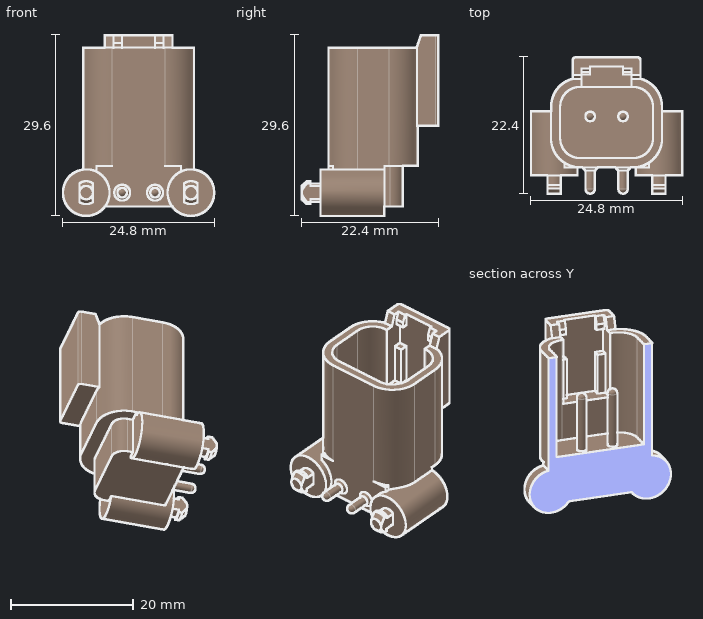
import cadquery as cq


OVERALL_WIDTH = 24.82
OVERALL_DEPTH = 22.4
OVERALL_HEIGHT = 29.63

SHELL_WIDTH = 18.2
SHELL_BACK = 14.68
SHELL_RADIUS = 4.75
SHELL_BOTTOM = 4.37
SHELL_TOP = 23.76
WALL = 1.5
CAVITY_FLOOR = 6.0

BASE_WIDTH = 13.86
BASE_BACK = 12.2
BASE_CORNER_RADIUS = 2.1
BASE_BOTTOM = -2.27

BOSS_DIAMETER = 7.66
BOSS_SPACING = OVERALL_WIDTH - BOSS_DIAMETER
BOSS_FRONT = -1.32
BOSS_BACK = 9.2

PEG_WIDTH = 2.2
PEG_SHAFT_RADIUS = 1.53
PEG_BARB_RADIUS = 1.89
PEG_TIP_RADIUS = PEG_WIDTH / 2
PEG_BARB_START = -2.92
PEG_CONE_START = -3.5
PEG_TIP = -4.36

PIN_DIAMETER = 1.57
PIN_RADIUS = PIN_DIAMETER / 2
PIN_SPACING = 5.38
PIN_TIP = -4.33
COLLAR_RADIUS = 1.3
COLLAR_LENGTH = 0.55
MATING_PIN_Y = 8.33
MATING_PIN_TOP = 16.0

LATCH_WIDTH = 11.12
LATCH_BACK = PEG_TIP + OVERALL_DEPTH
LATCH_BOTTOM = 10.94
LATCH_TOP = OVERALL_HEIGHT - BOSS_DIAMETER / 2
LATCH_EDGE_RADIUS = 0.5
LATCH_LIP_TOP_Y = 15.15
LATCH_LIP_FOOT_Y = 14.45

SLOT_WIDTH = 8.16
SLOT_BACK = 16.49
SLOT_FLOOR = 12.4
HOOK_GAP = 5.38
HOOK_TOP_Y = 16.15
HOOK_FRONT = 15.65
HOOK_SLOPE_FOOT = 24.5
HOOK_BOTTOM = 23.55
POST_FRONT = 15.2
POST_TOP = 19.3

SIDES = (-1, 1)


def box(x_min, x_max, y_min, y_max, z_min, z_max):
    size = (x_max - x_min, y_max - y_min, z_max - z_min)
    return cq.Workplane("XY").box(*size, centered=False).translate((x_min, y_min, z_min))


def rounded_prism(width, y_min, y_max, radius, z_min, z_max):
    """Upright block centred on x = 0 with all four vertical edges rounded."""
    return box(-width / 2, width / 2, y_min, y_max, z_min, z_max).edges("|Z").fillet(radius)


def side_profile(points, x_min, x_max):
    """Extrude a closed (y, z) outline from x_min to x_max."""
    outline = cq.Workplane("YZ", origin=(x_min, 0, 0)).polyline(points).close()
    return outline.extrude(x_max - x_min)


def turned_along_y(half_outline, x):
    """Revolve an (offset, y) outline about the Y axis and move it to the given x."""
    solid = half_outline.close().revolve(360, (0, 0, 0), (0, 1, 0))
    return solid.translate((x, 0, 0))


def make_shell():
    shell = rounded_prism(SHELL_WIDTH, 0, SHELL_BACK, SHELL_RADIUS, 0, SHELL_TOP)
    half_width = SHELL_WIDTH / 2
    relief = box(-half_width, half_width, BOSS_BACK, SHELL_BACK, 0, SHELL_BOTTOM)
    return shell.cut(relief)


def make_base():
    half_width = BASE_WIDTH / 2
    block = box(-half_width, half_width, 0, BASE_BACK, BASE_BOTTOM, SHELL_BOTTOM)
    return block.edges("|Z and >Y").fillet(BASE_CORNER_RADIUS)


def make_latch_housing():
    lip_root_y = SHELL_BACK - WALL
    outline = [
        (LATCH_BACK, LATCH_BOTTOM),
        (LATCH_BACK, LATCH_TOP),
        (LATCH_LIP_TOP_Y, LATCH_TOP),
        (LATCH_LIP_FOOT_Y, SHELL_TOP),
        (lip_root_y, SHELL_TOP),
        (lip_root_y, LATCH_BOTTOM),
    ]
    housing = side_profile(outline, -LATCH_WIDTH / 2, LATCH_WIDTH / 2)
    return housing.edges("|Z and >Y").fillet(LATCH_EDGE_RADIUS)


def make_cavity():
    half_width = SHELL_WIDTH / 2 - WALL
    return rounded_prism(
        2 * half_width, WALL, SHELL_BACK - WALL, SHELL_RADIUS - WALL, CAVITY_FLOOR, SHELL_TOP
    )


def make_latch_slot():
    half_width = SLOT_WIDTH / 2
    return box(-half_width, half_width, SHELL_BACK / 2, SLOT_BACK, SLOT_FLOOR, LATCH_TOP)


def make_hook_and_post(side):
    inner, outer = sorted((side * HOOK_GAP / 2, side * SLOT_WIDTH / 2))
    hook_outline = [
        (SLOT_BACK, HOOK_BOTTOM),
        (SLOT_BACK, LATCH_TOP),
        (HOOK_TOP_Y, LATCH_TOP),
        (HOOK_FRONT, HOOK_SLOPE_FOOT),
        (HOOK_FRONT, HOOK_BOTTOM),
    ]
    hook = side_profile(hook_outline, inner, outer)
    post = box(inner, outer, POST_FRONT, SLOT_BACK, SLOT_FLOOR, POST_TOP)
    return hook, post


def make_boss(x):
    outline = cq.Workplane("XZ", origin=(x, BOSS_BACK, 0)).circle(BOSS_DIAMETER / 2)
    return outline.extrude(BOSS_BACK - BOSS_FRONT)


def make_snap_peg(x):
    half_outline = (
        cq.Workplane("XY")
        .moveTo(0, 0)
        .lineTo(PEG_SHAFT_RADIUS, 0)
        .lineTo(PEG_SHAFT_RADIUS, PEG_BARB_START)
        .lineTo(PEG_BARB_RADIUS, PEG_BARB_START)
        .lineTo(PEG_BARB_RADIUS, PEG_CONE_START)
        .lineTo(PEG_TIP_RADIUS, PEG_TIP)
        .lineTo(0, PEG_TIP)
    )
    half_width = PEG_WIDTH / 2
    flats = box(
        x - half_width, x + half_width, PEG_TIP, 0, -PEG_BARB_RADIUS, PEG_BARB_RADIUS
    )
    return turned_along_y(half_outline, x).intersect(flats)


def make_solder_pin(x):
    root_y = WALL / 2
    half_outline = (
        cq.Workplane("XY")
        .moveTo(0, root_y)
        .lineTo(COLLAR_RADIUS, root_y)
        .lineTo(COLLAR_RADIUS, 0)
        .lineTo(PIN_RADIUS, -COLLAR_LENGTH)
        .lineTo(PIN_RADIUS, PIN_TIP + PIN_RADIUS)
        .radiusArc((0, PIN_TIP), PIN_RADIUS)
    )
    return turned_along_y(half_outline, x)


def make_mating_pin(x):
    dome_start = MATING_PIN_TOP - PIN_RADIUS
    base_z = CAVITY_FLOOR - WALL
    pin = cq.Workplane("XY", origin=(x, MATING_PIN_Y, base_z)).circle(PIN_RADIUS)
    dome = cq.Workplane("XY").sphere(PIN_RADIUS).translate((x, MATING_PIN_Y, dome_start))
    return pin.extrude(dome_start - base_z).union(dome)


result = make_shell().union(make_base()).union(make_latch_housing())
result = result.cut(make_cavity()).cut(make_latch_slot())

for side in SIDES:
    latch_hook, stop_post = make_hook_and_post(side)
    boss_x = side * BOSS_SPACING / 2
    pin_x = side * PIN_SPACING / 2
    result = result.union(latch_hook).union(stop_post)
    result = result.union(make_boss(boss_x)).union(make_snap_peg(boss_x))
    result = result.union(make_solder_pin(pin_x)).union(make_mating_pin(pin_x))